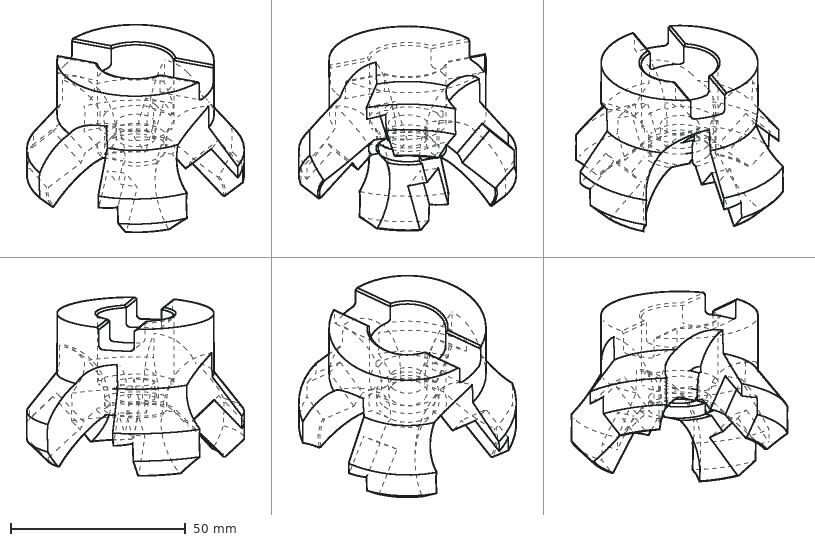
import cadquery as cq
import math

height = 42.1
rim_radius = 31.1
hub_radius = 22.45
rim_top = 13.5
hub_bottom = 24.7
rim_chamfer = 5.5

bore_radius = 5.55
counterbore_radius = 10.95
counterbore_floor = 22.1
counterbore_chamfer = 0.6

recess_mouth_radius = 25.15
recess_ceiling = 14.0
relief_radius = 8.95
relief_ceiling = 17.35

slot_width = 10.4
slot_depth = 6.35
slot_fillet = 1.2
slot_chamfer = 0.6

tooth_count = 4
face_offset = 0.55
radial_rake = 2.1
axial_rake = 2.0
flute_center_height = 11.7
flute_radius = 21.0
flute_tilt = 2.0
flute_floor = 8.85
flute_fillet = 15.7
seat_depth = 5.6
seat_corner_radius = 23.1
seat_corner_height = 17.8
reach = 49.8


def make_body():
    """Outer shape and the stepped bore and recess, revolved about Z."""
    recess_inner_radius = recess_mouth_radius - recess_ceiling
    bore_top_radius = counterbore_radius + counterbore_chamfer
    profile = [
        (recess_mouth_radius, 0),
        (rim_radius - rim_chamfer, 0),
        (rim_radius, rim_chamfer),
        (rim_radius, rim_top),
        (hub_radius, hub_bottom),
        (hub_radius, height),
        (bore_top_radius, height),
        (counterbore_radius, height - counterbore_chamfer),
        (counterbore_radius, counterbore_floor),
        (bore_radius, counterbore_floor),
        (bore_radius, relief_ceiling),
        (relief_radius, relief_ceiling),
        (relief_radius, recess_ceiling),
        (recess_inner_radius, recess_ceiling),
    ]
    return cq.Workplane("XZ").polyline(profile).close().revolve(360, (0, 0, 0), (0, 1, 0))


def make_drive_slot():
    """Slot along X with rounded floor corners and chamfered mouth."""
    half_width = slot_width / 2
    half_mouth = half_width + slot_chamfer
    slot = (
        cq.Workplane("XY")
        .box(2 * reach, slot_width, slot_depth, centered=(True, True, False))
        .translate((0, 0, height - slot_depth))
        .edges("|X and <Z")
        .fillet(slot_fillet)
    )
    mouth = (
        cq.Workplane("YZ")
        .polyline([(-half_mouth, height), (half_mouth, height), (0, height - half_mouth)])
        .close()
        .extrude(reach, both=True)
    )
    return slot.union(mouth)


def place_on_face(cutter):
    """Move a cutter from the plane X = 0 onto the raked leading face of the -Y tooth."""
    return (
        cutter.rotate((0, 0, 0), (0, 0, 1), radial_rake)
        .rotate((0, 0, 0), (0, 1, 0), -axial_rake)
        .translate((face_offset, 0, 0))
    )


def flute_profile():
    """Half section of the flute, with its centre line along Y."""
    fillet_start = flute_radius - flute_fillet
    fillet_end = flute_floor + flute_fillet
    diagonal = flute_fillet * math.sqrt(0.5)
    return (
        cq.Workplane("YZ")
        .moveTo(-flute_floor, 0)
        .lineTo(-flute_floor, fillet_start)
        .threePointArc((-fillet_end + diagonal, fillet_start + diagonal), (-fillet_end, flute_radius))
        .lineTo(-reach, flute_radius)
        .lineTo(-reach, 0)
        .close()
    )


def make_flute():
    """Round-cornered flute: a quarter turn about a Y axis that runs out straight downward."""
    turn = flute_profile().revolve(90, (0, 0, 0), (-1, 0, 0))
    runout = flute_profile().extrude(-reach).rotate((0, 0, 0), (0, 1, 0), -90)
    flute = turn.union(runout).rotate((0, 0, 0), (1, 0, 0), flute_tilt)
    return place_on_face(flute.translate((0, 0, flute_center_height)))


def make_insert_seat():
    """Seat for a square insert standing on its corner, its top corner a right angle."""
    corner = (-seat_corner_radius, seat_corner_height)
    seat = (
        cq.Workplane("YZ")
        .moveTo(*corner)
        .lineTo(corner[0] + reach, corner[1] - reach)
        .lineTo(corner[0] - reach, corner[1] - reach)
        .close()
        .extrude(seat_depth)
    )
    return place_on_face(seat)


result = make_body().cut(make_drive_slot())
flute = make_flute()
insert_seat = make_insert_seat()
for index in range(tooth_count):
    angle = index * 360 / tooth_count
    for cutter in (flute, insert_seat):
        result = result.cut(cutter.rotate((0, 0, 0), (0, 0, 1), angle))